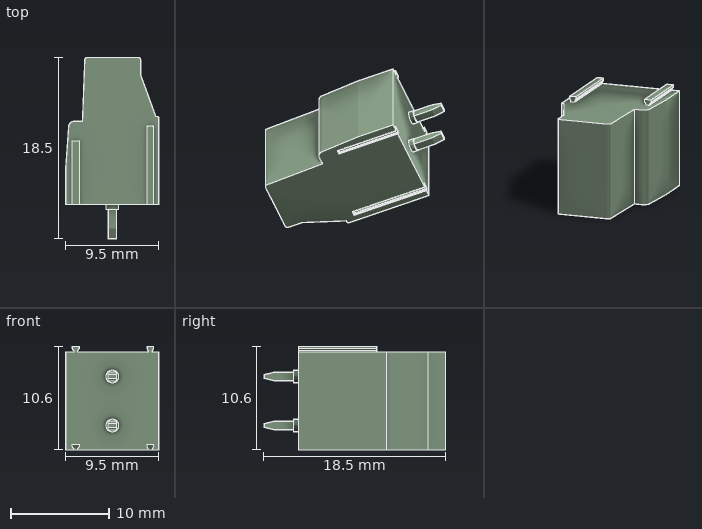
import cadquery as cq

body_width = 9.5
total_length = 18.5
total_height = 10.56
pin_pitch = 5.0
body_height = 2 * pin_pitch
pin_reach = 3.5
body_length = total_length - pin_reach

left_bend_y = 3.83
shoulder_y = 8.51
shoulder_outer_x = 0.33
shoulder_inner_x = 1.7
nose_left_x = 1.95
nose_right_x = 7.65
slope_top_y = 13.2
slope_bottom_y = 9.0
slope_bottom_x = 9.2
shoulder_radius = 0.6
nose_radius = 0.28
right_corner_radius = 0.2

rib_height = total_height - body_height
head_height = 0.22
taper_height = 0.22
left_rib = {"center_x": 1.02, "head_width": 0.74, "neck_width": 0.39, "length": 6.5}
right_rib = {"center_x": 8.62, "head_width": 0.67, "neck_width": 0.45, "length": 8.0}

collar_diameter = 1.3
collar_length = 0.5
pin_width = 0.85
pin_thickness = 0.9
pin_tip_thickness = 0.37
pin_taper_length = 1.04


def make_body():
    """Extruded housing with its stepped nose and rounded upright corners."""
    shoulder_corner = (shoulder_outer_x, shoulder_y)
    nose_corners = [(nose_left_x, body_length), (nose_right_x, body_length)]
    right_corner = (body_width, slope_bottom_y)
    outline = [
        (0, 0),
        (0, left_bend_y),
        shoulder_corner,
        (shoulder_inner_x, shoulder_y),
        *nose_corners,
        (nose_right_x, slope_top_y),
        (slope_bottom_x, slope_bottom_y),
        right_corner,
        (body_width, 0),
    ]
    body = cq.Workplane("XY").polyline(outline).close().extrude(body_height)
    body = round_upright_edge(body, shoulder_corner, shoulder_radius)
    for corner in nose_corners:
        body = round_upright_edge(body, corner, nose_radius)
    return round_upright_edge(body, right_corner, right_corner_radius)


def round_upright_edge(body, corner, radius):
    """Fillet the Z-parallel edge standing at the given X, Y corner."""
    edge_middle = (*corner, body_height / 2)
    return body.edges(cq.selectors.NearestToPointSelector(edge_middle)).fillet(radius)


def make_dovetail(base_z, center_x, head_width, neck_width, length):
    """Bar along +Y from Y = 0, narrow at base_z and wide at its top."""
    top_z = base_z + rib_height
    head_bottom_z = top_z - head_height
    neck_top_z = head_bottom_z - taper_height
    half_head = head_width / 2
    half_neck = neck_width / 2
    section = [
        (center_x - half_neck, base_z),
        (center_x - half_neck, neck_top_z),
        (center_x - half_head, head_bottom_z),
        (center_x - half_head, top_z),
        (center_x + half_head, top_z),
        (center_x + half_head, head_bottom_z),
        (center_x + half_neck, neck_top_z),
        (center_x + half_neck, base_z),
    ]
    return cq.Workplane("XZ").polyline(section).close().extrude(-length)


def make_pin(center_z):
    """Round collar and flat pin with a tapered tip, pointing along -Y."""
    center_x = body_width / 2
    collar = (
        cq.Workplane("XZ")
        .center(center_x, center_z)
        .circle(collar_diameter / 2)
        .extrude(collar_length)
    )
    half_blade = pin_thickness / 2
    half_tip = pin_tip_thickness / 2
    taper_start_y = pin_taper_length - pin_reach
    side_profile = [
        (0, center_z - half_blade),
        (taper_start_y, center_z - half_blade),
        (-pin_reach, center_z - half_tip),
        (-pin_reach, center_z + half_tip),
        (taper_start_y, center_z + half_blade),
        (0, center_z + half_blade),
    ]
    blade = (
        cq.Workplane("YZ", origin=(center_x, 0, 0))
        .polyline(side_profile)
        .close()
        .extrude(pin_width / 2, both=True)
    )
    return collar.union(blade)


result = make_body()

for rib in (left_rib, right_rib):
    result = result.union(make_dovetail(body_height, **rib))
    result = result.cut(make_dovetail(0, **rib))

for pin_z in (pin_pitch / 2, 3 * pin_pitch / 2):
    result = result.union(make_pin(pin_z))